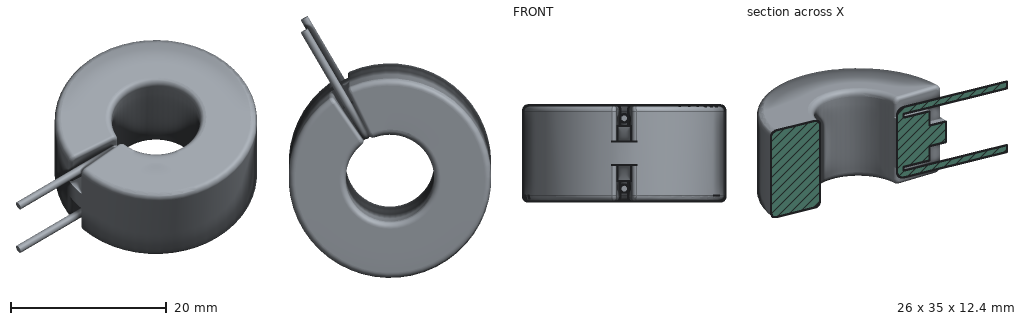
import cadquery as cq
import math

outer_diameter = 26.0
outer_radius = outer_diameter / 2
bore_radius = 5.67
height = 12.4
rim_fillet = 0.8

slot_half_angle = 4.6
slot_fillet = 0.5
web_height = 3.0
ledge_radius = 10.55
ledge_z = 3.55

wire_diameter = 1.05
wire_z = 4.5
bend_radius = 0.55
wire_length = 35
wire_tip_y = outer_radius - wire_length
wire_radius = wire_diameter / 2

half_height = height / 2
tolerance = 1e-3
slot_overshoot = 1.75


def wedge(inner_radius, floor_z):
    """Radial wedge about -Y, from inner_radius outward and from floor_z upward."""
    reach = outer_radius + slot_overshoot
    half_width = reach * math.tan(math.radians(slot_half_angle))
    depth = half_height + slot_overshoot - floor_z
    sector = (
        cq.Workplane("XY", origin=(0, 0, floor_z))
        .polyline([(0, 0), (-half_width, -reach), (half_width, -reach)])
        .close()
        .extrude(depth)
    )
    core = cq.Workplane("XY", origin=(0, 0, floor_z)).circle(inner_radius).extrude(depth)
    return sector.cut(core)


def make_ring():
    end_face = cq.Workplane("XY", origin=(0, 0, -half_height))
    ring = end_face.circle(outer_radius).circle(bore_radius).extrude(height)
    return ring.faces("|Z").edges().fillet(rim_fillet)


def cut_slots(body):
    shallow = wedge(bore_radius / 2, ledge_z)
    deep = wedge(ledge_radius, web_height / 2)
    slot = shallow.union(deep)
    return body.cut(slot).cut(slot.mirror("XY"))


def round_slot_mouths(body):
    """Round the slot walls where they meet the end faces and the outer side."""
    angle = math.radians(slot_half_angle)
    wall_middle = (bore_radius + outer_radius) / 2
    mouth_edges = []
    for edge in body.edges().vals():
        middle = edge.positionAt(0.5)
        radius = math.hypot(middle.x, middle.y)
        on_wall = abs(math.atan2(abs(middle.x), -middle.y) - angle) < tolerance
        on_end_face = abs(abs(middle.z) - half_height) < tolerance
        on_outer_rim = radius > wall_middle and abs(middle.z) > half_height - rim_fillet
        on_outer_side = abs(radius - outer_radius) < tolerance
        if on_wall and (on_end_face or on_outer_rim or on_outer_side):
            mouth_edges.append(edge)
    return body.newObject(mouth_edges).fillet(slot_fillet)


def make_wire():
    upright_y = -bore_radius - wire_radius
    bend_start_y = upright_y - bend_radius
    bend_end_z = wire_z - bend_radius
    bend_offset = bend_radius * (1 - math.sqrt(0.5))
    path = (
        cq.Workplane("YZ")
        .moveTo(wire_tip_y, wire_z)
        .lineTo(bend_start_y, wire_z)
        .threePointArc((upright_y - bend_offset, wire_z - bend_offset), (upright_y, bend_end_z))
        .lineTo(upright_y, -bend_end_z)
        .threePointArc((upright_y - bend_offset, bend_offset - wire_z), (bend_start_y, -wire_z))
        .lineTo(wire_tip_y, -wire_z)
    )
    section = cq.Workplane("XZ", origin=(0, wire_tip_y, wire_z)).circle(wire_radius)
    return section.sweep(path)


body = round_slot_mouths(cut_slots(make_ring()))
result = body.union(make_wire())